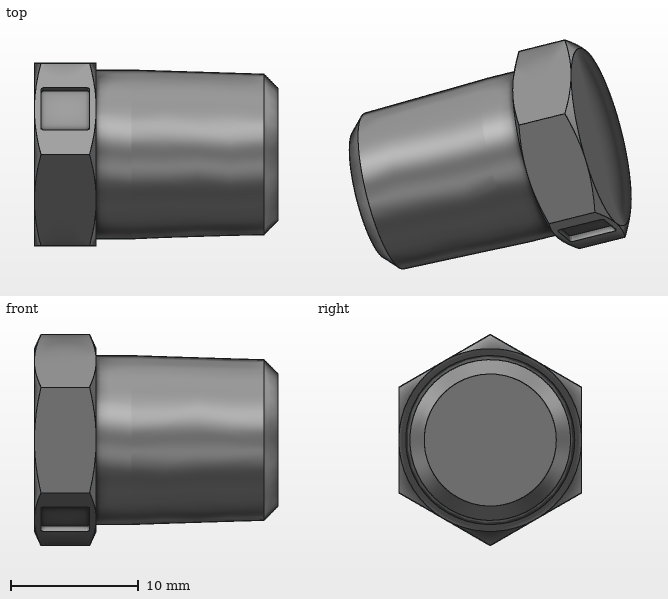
import cadquery as cq
import math


overall_length = 19.05

across_flats = 14.29
across_corners = across_flats / math.cos(math.radians(30))
head_length = 4.83
corner_chamfer_angle = 25

neck_diameter = 13.21
neck_length = 2.79
tip_chamfer = 1.12
thread_taper = 1 / 16

recess_size = 3.81
recess_corner_radius = 0.25
recess_depth = 0.5
recess_tilts = (-30, 150)


def make_head():
    """Hexagonal prism with its corners turned down by a cone at both ends."""
    prism = (
        cq.Workplane("YZ")
        .polygon(6, across_corners)
        .extrude(head_length)
        .rotate((0, 0, 0), (1, 0, 0), 90)
    )
    flat_radius = across_flats / 2
    corner_radius = across_corners / 2
    cone_length = (corner_radius - flat_radius) * math.tan(math.radians(corner_chamfer_angle))
    envelope = (
        cq.Workplane("XY")
        .moveTo(0, 0)
        .lineTo(0, flat_radius)
        .lineTo(cone_length, corner_radius)
        .lineTo(head_length - cone_length, corner_radius)
        .lineTo(head_length, flat_radius)
        .lineTo(head_length, 0)
        .close()
        .revolve(360, (0, 0, 0), (1, 0, 0))
    )
    return prism.intersect(envelope)


def make_shank():
    """Neck, tapered section and tip chamfer revolved in one profile."""
    neck_end = head_length + neck_length
    taper_end = overall_length - tip_chamfer
    neck_radius = neck_diameter / 2
    taper_end_radius = neck_radius - (taper_end - neck_end) * thread_taper / 2
    return (
        cq.Workplane("XY")
        .moveTo(head_length, 0)
        .lineTo(head_length, neck_radius)
        .lineTo(neck_end, neck_radius)
        .lineTo(taper_end, taper_end_radius)
        .lineTo(overall_length, taper_end_radius - tip_chamfer)
        .lineTo(overall_length, 0)
        .close()
        .revolve(360, (0, 0, 0), (1, 0, 0))
    )


def make_recess_cutter(tilt):
    """Rounded square block sunk into the flat that faces +Z before tilting about X."""
    floor_height = across_flats / 2 - recess_depth
    return (
        cq.Workplane("XY", origin=(head_length / 2, 0, floor_height))
        .rect(recess_size, recess_size)
        .extrude(2 * recess_depth)
        .edges("|Z")
        .fillet(recess_corner_radius)
        .rotate((0, 0, 0), (1, 0, 0), tilt)
    )


result = make_head().union(make_shank())
for recess_tilt in recess_tilts:
    result = result.cut(make_recess_cutter(recess_tilt))